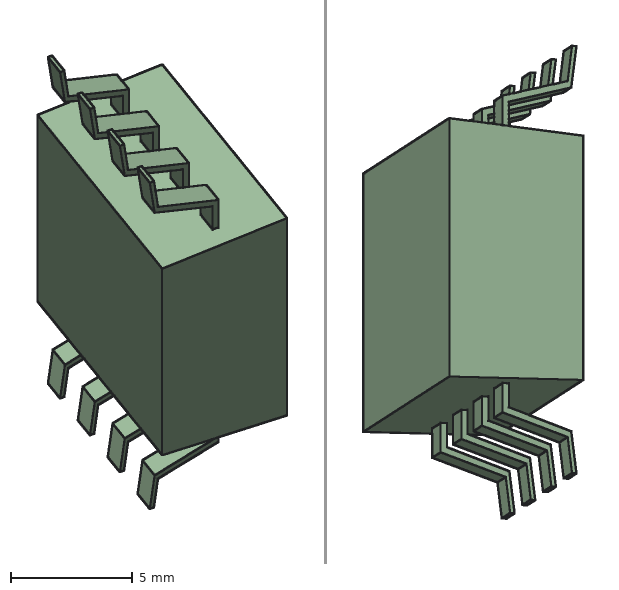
import cadquery as cq


housing_width = 10.79
housing_back_y = 2.67
housing_front_y = -3.18
housing_center_z = -0.135
housing_back_height = 10.93
housing_front_height = 10.33

lead_count = 4
lead_pitch = 2.585
lead_width = 1.06
strip_thickness = 0.28
tip_thickness = 0.20
tip_y = -3.23
lead_length = 18.07
tip_z = lead_length / 2

shoulder_outer = (0, 6.70)
shoulder_inner = (-strip_thickness, 6.46)
knee_outer = (-2.84, 7.53)
knee_inner = (-3.00, 7.27)
tip_outer = (tip_y + tip_thickness, tip_z)
tip_inner = (tip_y, tip_z)


def lead_position_x(index):
    """Middle of a lead along X."""
    return (index - (lead_count - 1) / 2) * lead_pitch


def mirrored(points):
    """Points of the upper half of a lead, reflected to the lower half."""
    return [(y, -z) for y, z in points]


def make_lead(x):
    """One strip with a bent leg at each end, centred on x."""
    outer_side = [shoulder_outer, knee_outer, tip_outer]
    inner_side = [tip_inner, knee_inner, shoulder_inner]
    upper_half = outer_side + inner_side
    outline = upper_half + mirrored(reversed(upper_half))
    return (
        cq.Workplane("YZ", origin=(x, 0, 0))
        .polyline(outline)
        .close()
        .extrude(lead_width / 2, both=True)
    )


def make_housing(leads):
    """Tapered block with a through slot for each lead."""
    back_half = housing_back_height / 2
    front_half = housing_front_height / 2
    outline = [
        (housing_back_y, housing_center_z - back_half),
        (housing_back_y, housing_center_z + back_half),
        (housing_front_y, housing_center_z + front_half),
        (housing_front_y, housing_center_z - front_half),
    ]
    block = (
        cq.Workplane("YZ")
        .polyline(outline)
        .close()
        .extrude(housing_width / 2, both=True)
    )
    for lead in leads:
        block = block.cut(lead)
    return block


leads = [make_lead(lead_position_x(index)) for index in range(lead_count)]
housing = make_housing(leads)

result = cq.Compound.makeCompound([housing.val(), *[lead.val() for lead in leads]])